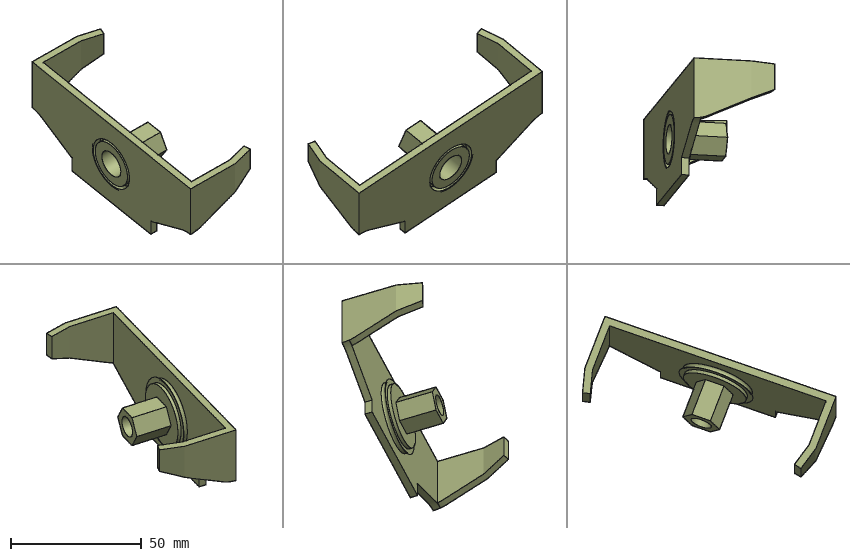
import cadquery as cq
import math


sheet = 3.0
half_width = 47.0
top_z = 20.0
bottom_z = -20.0
bracket_depth = 32.0
lip_length = 10.0
lip_angle = math.radians(15)
corner_z = -3.65
tab_half_width = 23.4
bevel_angle = math.radians(25)
bevel_blend_radius = 13.0

hole_radius = 10.75
hole_groove_radius = sheet / 2

shank_radius = 9.55
flange_radius = 12.8
flange_thickness = 1.4
hex_across_flats = 13.0
hex_across_corners = hex_across_flats / math.cos(math.radians(30))
hex_length = 15.0
bore_radius = 5.6
bore_depth = 12.0
tapped_radius = 4.1
tapped_chamfer = 0.9
tapped_chamfer_depth = 0.5

ring_thickness = 2.0
ring_lip_radius = 15.0
ring_groove_radius = 1.2

flange_front_y = sheet + ring_thickness
flange_back_y = flange_front_y + flange_thickness
nut_end_y = flange_back_y + hex_length

blend_run = bevel_blend_radius * math.sin(bevel_angle)
blend_rise = bevel_blend_radius * (1 - math.cos(bevel_angle))
half_blend_run = bevel_blend_radius * math.sin(bevel_angle / 2)
half_blend_rise = bevel_blend_radius * (1 - math.cos(bevel_angle / 2))


def bevel_rise(run):
    """Height change from the corner to a point on the straight stretch of the bevel."""
    return blend_rise + (run - blend_run) * math.tan(bevel_angle)


def corner_blend_rise(run):
    """Height change from the corner to a point within the blend of the bevel."""
    return bevel_blend_radius - math.sqrt(bevel_blend_radius**2 - run**2)


def half_plate_outline(plane, edge_z):
    """Closed outline of the +X half of the plate, whose outer edge ends at edge_z."""
    run_end_z = corner_z - blend_rise
    shoulder_z = corner_z - bevel_rise(half_width - tab_half_width)
    blend_scale = (edge_z - run_end_z) / blend_rise
    blend_middle_z = run_end_z + (blend_rise - half_blend_rise) * blend_scale
    return (
        plane.moveTo(0, top_z)
        .lineTo(half_width, top_z)
        .lineTo(half_width, edge_z)
        .threePointArc(
            (half_width - half_blend_run, blend_middle_z),
            (half_width - blend_run, run_end_z),
        )
        .lineTo(tab_half_width, shoulder_z)
        .lineTo(tab_half_width, bottom_z)
        .lineTo(0, bottom_z)
        .close()
    )


def make_plate():
    """Front plate, bevelled down to a tab, with corners that climb to meet the side walls."""
    front = half_plate_outline(cq.Workplane("XZ"), corner_z)
    outlines = half_plate_outline(front.workplane(offset=-sheet), corner_z + corner_blend_rise(sheet))
    half = outlines.loft(ruled=True)
    return half.union(half.mirror("YZ"))


def make_wing():
    """Side wall at +X with its leaning lip, bevelled along the lower edge."""
    kink_y = bracket_depth - lip_length * math.cos(lip_angle)
    inner_kink_y = kink_y - sheet * math.tan(lip_angle / 2)
    tip_x = half_width - lip_length * math.sin(lip_angle)
    inner_tip = (tip_x - sheet * math.cos(lip_angle), bracket_depth - sheet * math.sin(lip_angle))
    wall = (
        cq.Workplane("XY")
        .workplane(offset=bottom_z)
        .moveTo(half_width - sheet, sheet)
        .lineTo(half_width, sheet)
        .lineTo(half_width, kink_y)
        .lineTo(tip_x, bracket_depth)
        .lineTo(*inner_tip)
        .lineTo(half_width - sheet, inner_kink_y)
        .close()
        .extrude(top_z - bottom_z)
    )
    side_outline = (
        cq.Workplane("YZ")
        .moveTo(0, top_z)
        .lineTo(0, corner_z)
        .threePointArc(
            (half_blend_run, corner_z + half_blend_rise),
            (blend_run, corner_z + blend_rise),
        )
        .lineTo(bracket_depth, corner_z + bevel_rise(bracket_depth))
        .lineTo(bracket_depth, top_z)
        .close()
        .extrude(half_width)
    )
    return wall.intersect(side_outline)


def make_hole_tool():
    """Solid of revolution that removes the undercut hole from the plate."""
    return (
        cq.Workplane("XY")
        .lineTo(hole_radius, 0)
        .threePointArc(
            (hole_radius + hole_groove_radius, hole_groove_radius),
            (hole_radius, sheet),
        )
        .lineTo(0, sheet)
        .close()
        .revolve(360, (0, 0, 0), (0, 1, 0))
    )


def make_bracket():
    wing = make_wing()
    return make_plate().union(wing).union(wing.mirror("YZ")).cut(make_hole_tool())


def make_nut():
    """Flanged hexagon nut with a plain bore that leads to the narrower tapped hole."""
    turned = (
        cq.Workplane("XY")
        .lineTo(shank_radius, 0)
        .lineTo(shank_radius, flange_front_y)
        .lineTo(flange_radius, flange_front_y)
        .lineTo(flange_radius, flange_back_y)
        .lineTo(0, flange_back_y)
        .close()
        .revolve(360, (0, 0, 0), (0, 1, 0))
    )
    hexagon = (
        cq.Workplane("XZ", origin=(0, flange_back_y, 0))
        .polygon(6, hex_across_corners)
        .extrude(-hex_length)
    )
    bore = (
        cq.Workplane("XY")
        .lineTo(bore_radius, 0)
        .lineTo(bore_radius, bore_depth)
        .lineTo(tapped_radius + tapped_chamfer, bore_depth)
        .lineTo(tapped_radius, bore_depth + tapped_chamfer_depth)
        .lineTo(tapped_radius, nut_end_y)
        .lineTo(0, nut_end_y)
        .close()
        .revolve(360, (0, 0, 0), (0, 1, 0))
    )
    return turned.union(hexagon).cut(bore)


def make_ring():
    """Washer whose rim is hollowed by an arc that ends in a sharp lip under the flange."""
    groove_y = flange_front_y - ring_groove_radius
    groove_reach = math.sqrt(ring_groove_radius**2 - (groove_y - sheet) ** 2)
    return (
        cq.Workplane("XY")
        .moveTo(shank_radius, sheet)
        .lineTo(ring_lip_radius - groove_reach, sheet)
        .threePointArc(
            (ring_lip_radius - ring_groove_radius, groove_y),
            (ring_lip_radius, flange_front_y),
        )
        .lineTo(shank_radius, flange_front_y)
        .close()
        .revolve(360, (0, 0, 0), (0, 1, 0))
    )


bracket = make_bracket()
nut = make_nut()
ring = make_ring()

result = cq.Compound.makeCompound([bracket.solids().val(), nut.solids().val(), ring.solids().val()])